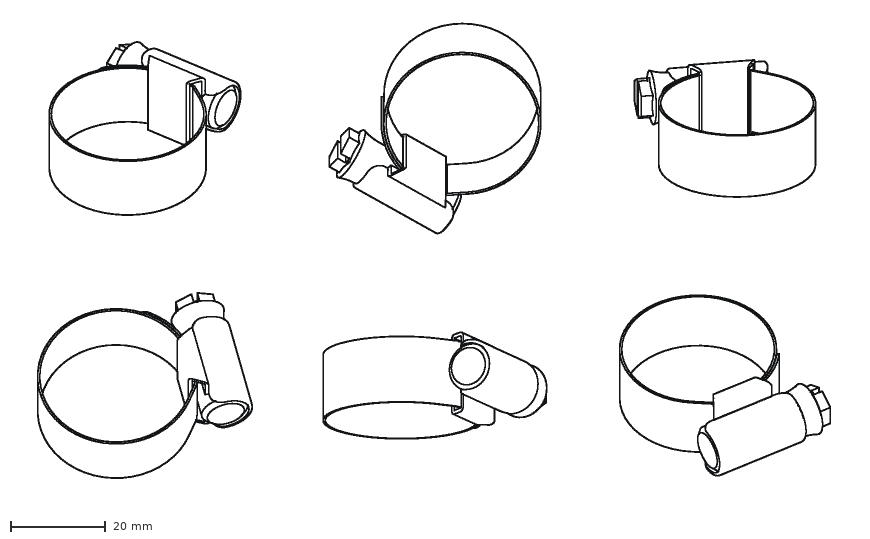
import cadquery as cq
import math


band_width = 14.2
band_thickness = 0.5
loop_radius = 16.57
tail_gap = 0.1
tail_radius = loop_radius + tail_gap + band_thickness
ramp_start_angle = 35.5
tail_end_angle = -59.7
loop_end_angle = 0.0
tail_corner_radius = 2.5

screw_y = 21.3
screw_front_x = -17.4
hex_across_flats = 8.1
slot_width = 1.25
slot_depth = 2.05
head_face_x = -15.05
head_rim_x = -14.47
head_rim_radius = 5.75
barrel_radius = 5.05
barrel_chamfer = 1.0

cover_start_x = -10.55
cover_end_x = 10.4
cover_radius = 5.85
cover_corner_radius = 2.8
cover_edge_fillet = 0.5
tunnel_bottom_y = 14.5
tunnel_top_y = 18.4
tunnel_height = 17.3
tunnel_wall = 0.75
tunnel_side_wall = 0.85
tunnel_top_half_length = 7.15
tunnel_bottom_half_length = 4.95
tunnel_top_fillet = 1.1
tunnel_bottom_fillet = 0.85
tunnel_inner_fillet = 0.35


def polar(radius, angle):
    """Point at a radius and a clockwise angle in degrees from +Y."""
    turn = math.radians(angle)
    return (radius * math.sin(turn), radius * math.cos(turn))


def x_cylinder(radius, start_x, end_x):
    """Cylinder about the screw axis."""
    return (
        cq.Workplane("YZ", origin=(start_x, screw_y, 0))
        .circle(radius)
        .extrude(end_x - start_x)
    )


def make_screw():
    """Slotted hex end, flared head and chamfered barrel."""
    profile = (
        cq.Workplane("XY", origin=(0, screw_y, 0))
        .moveTo(head_face_x, 0)
        .lineTo(head_face_x, hex_across_flats / 2)
        .lineTo(head_rim_x, head_rim_radius)
    )
    flare_length = cover_start_x - head_rim_x
    flare_rise = head_rim_radius - barrel_radius
    flare_radius = (flare_length**2 + flare_rise**2) / (2 * flare_rise)
    flare_mid_x = cover_start_x - flare_length / 2
    flare_mid_rise = flare_radius - math.sqrt(flare_radius**2 - (flare_length / 2) ** 2)
    body = (
        profile.threePointArc(
            (flare_mid_x, barrel_radius + flare_mid_rise), (cover_start_x, barrel_radius)
        )
        .lineTo(cover_end_x - barrel_chamfer, barrel_radius)
        .lineTo(cover_end_x, barrel_radius - barrel_chamfer)
        .lineTo(cover_end_x, 0)
        .close()
        .revolve(360, (0, 0, 0), (1, 0, 0))
    )
    across_corners = hex_across_flats / math.cos(math.radians(30))
    hexagon = (
        cq.Workplane("YZ", origin=(screw_front_x, screw_y, 0))
        .transformed(rotate=(0, 0, 90))
        .polygon(6, across_corners)
        .extrude(head_rim_x - screw_front_x)
    )
    slot = cq.Workplane("XY").box(slot_depth, slot_width, across_corners).translate(
        (screw_front_x + slot_depth / 2, screw_y, 0)
    )
    return body.union(hexagon.cut(slot))


def make_cover():
    """Round cover over the barrel, with rounded lower corners and edges."""
    outline_height = screw_y + cover_radius - tunnel_top_y
    outline = (
        cq.Workplane("XY")
        .box(cover_end_x - cover_start_x, outline_height, 2 * cover_radius)
        .translate(((cover_start_x + cover_end_x) / 2, tunnel_top_y + outline_height / 2, 0))
        .edges("|Z and <Y")
        .fillet(cover_corner_radius)
    )
    cover = x_cylinder(cover_radius, cover_start_x, cover_end_x).intersect(outline)
    return cover.faces("<X or >X").edges().fillet(cover_edge_fillet)


def make_tunnel():
    """Flat box tube that the band passes through, tapered towards the loop."""
    length = 2 * tunnel_top_half_length
    depth = tunnel_top_y - tunnel_bottom_y
    mid_y = (tunnel_top_y + tunnel_bottom_y) / 2
    tube = (
        cq.Workplane("XY")
        .box(length, depth, tunnel_height)
        .edges("|X and >Y")
        .fillet(tunnel_top_fillet)
        .edges("|X and <Y")
        .fillet(tunnel_bottom_fillet)
    )
    opening = (
        cq.Workplane("XY")
        .box(length, depth - 2 * tunnel_wall, tunnel_height - 2 * tunnel_side_wall)
        .edges("|X and >Y")
        .fillet(tunnel_inner_fillet)
    )
    taper = (
        cq.Workplane("XY")
        .polyline(
            [
                (-tunnel_top_half_length, tunnel_top_y),
                (tunnel_top_half_length, tunnel_top_y),
                (tunnel_bottom_half_length, tunnel_bottom_y),
                (-tunnel_bottom_half_length, tunnel_bottom_y),
            ]
        )
        .close()
        .extrude(tunnel_height / 2, both=True)
    )
    return tube.cut(opening).translate((0, mid_y, 0)).intersect(taper)


def make_housing():
    """Cover and tunnel in one piece, bored for the screw barrel."""
    bore = x_cylinder(barrel_radius, cover_start_x, cover_end_x)
    return make_cover().union(make_tunnel()).cut(bore)


def ramp_end_angle(start_radius, end_radius):
    """Angle at which a ramp tangent to one radius reaches a larger one."""
    return ramp_start_angle - math.degrees(math.acos(start_radius / end_radius))


def make_band():
    """One strip: closed loop, straight ramp and overlapping tail."""
    loop_inside = loop_radius - band_thickness
    tail_inside = tail_radius - band_thickness
    ramp_end = ramp_end_angle(loop_radius, tail_radius)
    ramp_end_inside = ramp_end_angle(loop_inside, tail_inside)
    tail_mid_angle = (ramp_end + tail_end_angle) / 2
    loop_mid_angle = 180
    strip = (
        cq.Workplane("XY")
        .moveTo(*polar(tail_radius, tail_end_angle))
        .threePointArc(polar(tail_radius, tail_mid_angle), polar(tail_radius, ramp_end))
        .lineTo(*polar(loop_radius, ramp_start_angle))
        .threePointArc(polar(loop_radius, loop_mid_angle), polar(loop_radius, loop_end_angle))
        .lineTo(*polar(loop_inside, loop_end_angle))
        .threePointArc(polar(loop_inside, loop_mid_angle), polar(loop_inside, ramp_start_angle))
        .lineTo(*polar(tail_inside, ramp_end_inside))
        .threePointArc(polar(tail_inside, tail_mid_angle), polar(tail_inside, tail_end_angle))
        .close()
        .extrude(band_width / 2, both=True)
    )
    mid_radius = (tail_radius + tail_inside) / 2
    for side in (-1, 1):
        corner = (*polar(mid_radius, tail_end_angle), side * band_width / 2)
        strip = strip.edges(cq.NearestToPointSelector(corner)).fillet(tail_corner_radius)
    return strip


screw = make_screw()
housing = make_housing()
band = make_band().cut(screw).cut(housing)

result = cq.Compound.makeCompound(
    [screw.solids().val(), housing.solids().val(), band.solids().val()]
)